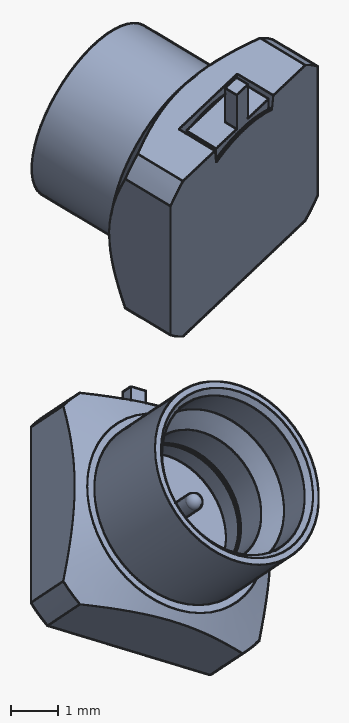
import cadquery as cq
import math

length = 4.08
body_side = 5.0
total_height = 6.04
half_side = body_side / 2

flange_front = 2.29
corner_radius = 3.25
front_flat_radius = 2.27
cone_angle = 30.0

barrel_radius = 2.09
mouth_radius = 1.94
mouth_depth = 0.13
bore_radius = 1.82
bore_depth = 0.91
inner_radius = 1.515
step_end = 1.32
floor_depth = 2.66
groove_start = 2.115
groove_end = 2.19
groove_radius = 1.535

contact_radius = 0.195
contact_tip = 1.45

slot_front = 3.105
slot_width = 1.98
slot_floor_width = 1.885
slot_floor_radius = 2.295
slot_edge_height = math.sqrt(slot_floor_radius**2 - (slot_floor_width / 2) ** 2)

block_front = 3.225
block_back = 4.03
block_width = 1.78
block_drop = 0.055
terminal_thickness = 0.315
terminal_width = 0.38


def revolve_about_x(points):
    """Revolve a closed (X, radius) profile about the connector axis."""
    return cq.Workplane("XY").polyline(points).close().revolve(360, (0, 0, 0), (1, 0, 0))


def box_between(x_start, x_end, width, z_bottom, z_top):
    """Box centred on Y = 0."""
    height = z_top - z_bottom
    return (
        cq.Workplane("XY")
        .box(x_end - x_start, width, height, centered=(False, True, False))
        .translate((x_start, 0, z_bottom))
    )


def make_flange():
    cone_length = (corner_radius - front_flat_radius) * math.tan(math.radians(cone_angle))
    envelope = revolve_about_x([
        (flange_front, 0),
        (flange_front, front_flat_radius),
        (flange_front + cone_length, corner_radius),
        (length, corner_radius),
        (length, 0),
    ])
    square = box_between(flange_front, length, body_side, -half_side, half_side)
    return square.intersect(envelope)


def make_barrel():
    return cq.Workplane("YZ").circle(barrel_radius).extrude(flange_front)


def make_bore():
    return revolve_about_x([
        (0, 0),
        (0, mouth_radius),
        (mouth_depth, bore_radius),
        (bore_depth, bore_radius),
        (step_end, inner_radius),
        (groove_start, inner_radius),
        (groove_start, groove_radius),
        (groove_end, groove_radius),
        (groove_end, inner_radius),
        (floor_depth, inner_radius),
        (floor_depth, 0),
    ])


def make_contact():
    ball_centre = contact_tip + contact_radius
    rod = cq.Workplane("YZ", origin=(ball_centre, 0, 0)).circle(contact_radius)
    rod = rod.extrude(floor_depth + 0.06 - ball_centre)
    ball = cq.Workplane("XY").sphere(contact_radius).translate((ball_centre, 0, 0))
    return rod.union(ball)


def make_slot():
    return (
        cq.Workplane("YZ", origin=(slot_front, 0, 0))
        .moveTo(-slot_width / 2, half_side)
        .lineTo(slot_width / 2, half_side)
        .lineTo(slot_floor_width / 2, slot_edge_height)
        .threePointArc((0, slot_floor_radius), (-slot_floor_width / 2, slot_edge_height))
        .close()
        .extrude(length - slot_front)
    )


def make_terminal_block():
    block_top = half_side - block_drop
    block = box_between(block_front, block_back, block_width, slot_edge_height, block_top)
    terminal_front = block_back - terminal_thickness
    terminal_top = total_height - half_side
    terminal = box_between(terminal_front, block_back, terminal_width, slot_edge_height, terminal_top)
    return block.union(terminal)


result = (
    make_flange()
    .union(make_barrel())
    .cut(make_bore())
    .union(make_contact())
    .cut(make_slot())
    .union(make_terminal_block())
)